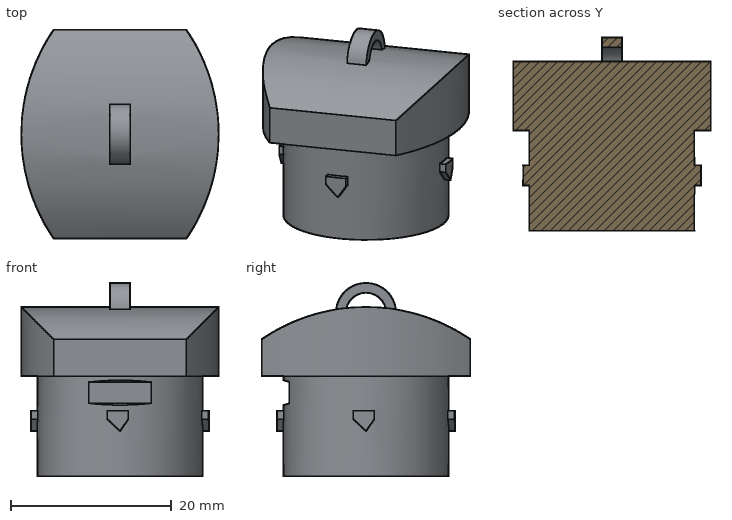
import cadquery as cq
import math

post_radius = 10.3
post_height = 12.5

cap_length = 26.0
cap_arc_radius = 23.0
cap_half_width = 12.295
cap_top = 21.1
arc_rise = cap_arc_radius - math.sqrt(cap_arc_radius**2 - (cap_length / 2) ** 2)
cap_end_half_width = cap_half_width - arc_rise
cap_shoulder = cap_top - arc_rise

handle_top = 24.09
handle_outer_radius = 3.75
handle_inner_radius = 2.5
handle_width = 2.5
handle_center_height = handle_top - handle_outer_radius

lug_count = 4
lug_outer_radius = 11.1
lug_long_side = 1.6
lug_short_side = 1.05
lug_top = 8.2
lug_shoulder = 7.15
lug_tip = 5.65

notch_floor = 9.55
notch_bottom = 9.1
notch_top = 11.75
notch_taper_depth = 1.0
notch_taper_rise = 0.3


def make_post():
    return cq.Workplane("XY").circle(post_radius).extrude(post_height)


def make_cap():
    half_length = cap_length / 2
    plan = (
        cq.Workplane("XY")
        .workplane(offset=post_height)
        .moveTo(-cap_end_half_width, -half_length)
        .lineTo(cap_end_half_width, -half_length)
        .threePointArc((cap_half_width, 0), (cap_end_half_width, half_length))
        .lineTo(-cap_end_half_width, half_length)
        .threePointArc((-cap_half_width, 0), (-cap_end_half_width, -half_length))
        .close()
        .extrude(cap_top - post_height)
    )
    arched_profile = (
        cq.Workplane("YZ")
        .moveTo(-half_length, post_height)
        .lineTo(half_length, post_height)
        .lineTo(half_length, cap_shoulder)
        .threePointArc((0, cap_top), (-half_length, cap_shoulder))
        .close()
        .extrude(cap_half_width, both=True)
    )
    return plan.intersect(arched_profile)


def make_handle():
    return (
        cq.Workplane("YZ")
        .center(0, handle_center_height)
        .circle(handle_outer_radius)
        .circle(handle_inner_radius)
        .extrude(handle_width / 2, both=True)
    )


def make_lug(angle):
    prism = (
        cq.Workplane("XZ")
        .polyline(
            [
                (-lug_long_side, lug_top),
                (lug_short_side, lug_top),
                (lug_short_side, lug_shoulder),
                (0, lug_tip),
                (-lug_long_side, lug_shoulder),
            ]
        )
        .close()
        .extrude(lug_outer_radius)
    )
    outer_limit = cq.Workplane("XY").circle(lug_outer_radius).extrude(post_height)
    return prism.intersect(outer_limit).rotate((0, 0, 0), (0, 0, 1), angle)


def make_notch():
    mouth = notch_floor + notch_taper_depth
    return (
        cq.Workplane("YZ")
        .polyline(
            [
                (-notch_floor, notch_bottom),
                (-notch_floor, notch_top),
                (-mouth, notch_top + notch_taper_rise),
                (-mouth, notch_bottom - notch_taper_rise),
            ]
        )
        .close()
        .extrude(post_radius, both=True)
    )


result = make_post().cut(make_notch()).union(make_cap()).union(make_handle())
for index in range(lug_count):
    result = result.union(make_lug(index * 360 / lug_count))